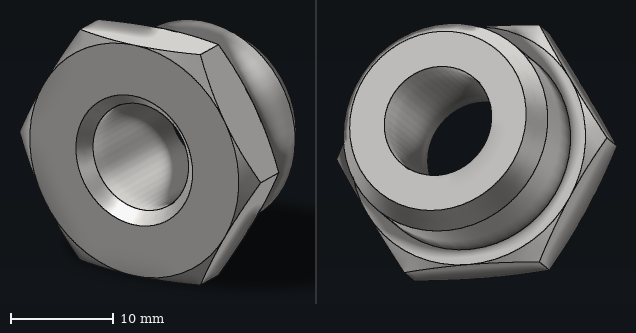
import cadquery as cq
import math

hex_corners = 27.7
hex_flats = hex_corners * math.cos(math.radians(30))
head_thickness = 5.51
head_bevel_angle = 30.0

total_length = 15.5
spigot_radius = 10.47
tip_length = 2.5
tip_angle = 30.0

bore_radius = 5.5
mouth_radius = 6.7
countersink_angle = 45.0


def revolve_about_y(points):
    """Revolve a closed (radius, y) outline about the Y axis."""
    return cq.Workplane("XY").polyline(points).close().revolve(360, (0, 0, 0), (0, 1, 0))


def make_head():
    """Hexagon with its corners on X, bevelled at both faces down to the inscribed circle."""
    hexagon = cq.Workplane("XZ").polygon(6, hex_corners).extrude(-head_thickness)
    face_radius = hex_flats / 2
    corner_radius = hex_corners / 2
    bevel_depth = (corner_radius - face_radius) * math.tan(math.radians(head_bevel_angle))
    bevel_envelope = revolve_about_y([
        (0, 0),
        (face_radius, 0),
        (corner_radius, bevel_depth),
        (corner_radius, head_thickness - bevel_depth),
        (face_radius, head_thickness),
        (0, head_thickness),
    ])
    return hexagon.intersect(bevel_envelope)


def make_spigot():
    """Cylinder with a tapered tip, starting at the front of the head."""
    tip_radius = spigot_radius - tip_length * math.tan(math.radians(tip_angle))
    return revolve_about_y([
        (0, 0),
        (spigot_radius, 0),
        (spigot_radius, total_length - tip_length),
        (tip_radius, total_length),
        (0, total_length),
    ])


def make_bore():
    """Through bore including its countersunk mouth at y = 0."""
    countersink_depth = (mouth_radius - bore_radius) / math.tan(math.radians(countersink_angle))
    return revolve_about_y([
        (0, 0),
        (mouth_radius, 0),
        (bore_radius, countersink_depth),
        (bore_radius, total_length),
        (0, total_length),
    ])


result = make_head().union(make_spigot()).cut(make_bore())